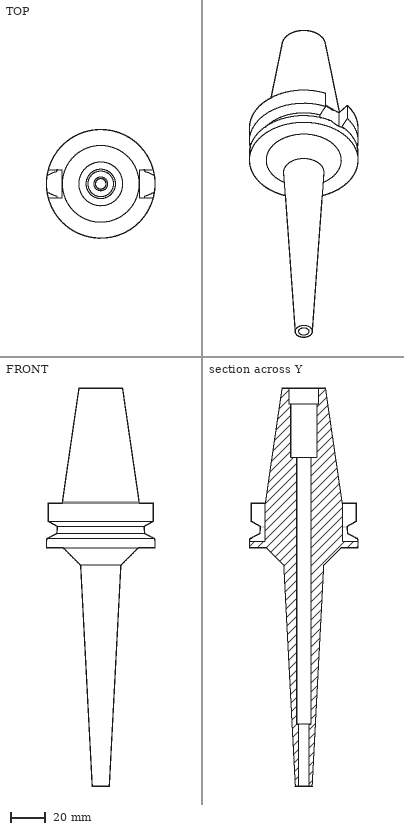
import cadquery as cq
import math

gauge_diameter = 44.45
taper_length = 65.4
taper_ratio = 7 / 24
small_end_radius = (gauge_diameter - taper_ratio * taper_length) / 2

flange_radius = 63 / 2
flange_top = -1.0
flange_bottom = -27.0

groove_root_radius = 53 / 2
groove_center = -16.6
groove_root_width = 4.2
groove_root_top = groove_center + groove_root_width / 2
groove_root_bottom = groove_center - groove_root_width / 2
groove_flank_angle = 30.0
groove_flank_height = (flange_radius - groove_root_radius) * math.tan(math.radians(groove_flank_angle))

slot_width = 16.1
slot_floor_offset = 22.5
slot_bottom = -23.0

overall_reach = 165.0
shoulder_height = 10.0
neck_angle = 3.0
nose_end = -overall_reach
neck_top = flange_bottom - shoulder_height
nose_radius = 10 / 2
neck_top_radius = nose_radius + (neck_top - nose_end) * math.tan(math.radians(neck_angle))
shoulder_radius = neck_top_radius + shoulder_height

counterbore_diameter = 17.0
counterbore_depth = 9.0
stud_bore_diameter = 14.8
stud_bore_depth = 40.0
coolant_bore_diameter = 8.0
nose_bore_diameter = 6.0
nose_bore_depth = 36.0
nose_bore_top = nose_end + nose_bore_depth


def revolved_body():
    """Shank, grooved flange, shoulder and neck as one revolved profile."""
    outline = [
        (0, taper_length),
        (small_end_radius, taper_length),
        (gauge_diameter / 2, 0),
        (gauge_diameter / 2, flange_top),
        (flange_radius, flange_top),
        (flange_radius, groove_root_top + groove_flank_height),
        (groove_root_radius, groove_root_top),
        (groove_root_radius, groove_root_bottom),
        (flange_radius, groove_root_bottom - groove_flank_height),
        (flange_radius, flange_bottom),
        (shoulder_radius, flange_bottom),
        (neck_top_radius, neck_top),
        (nose_radius, nose_end),
        (0, nose_end),
    ]
    return cq.Workplane("XZ").polyline(outline).close().revolve(360, (0, 0), (0, 1))


def drive_slot(side):
    """Cutter for the drive slot on the +X (side = 1) or -X (side = -1) side of the flange."""
    half_width = slot_width / 2
    arc_center = slot_bottom + half_width
    return (
        cq.Workplane("YZ", origin=(side * slot_floor_offset, 0, 0))
        .moveTo(-half_width, flange_top)
        .lineTo(-half_width, arc_center)
        .threePointArc((0, slot_bottom), (half_width, arc_center))
        .lineTo(half_width, flange_top)
        .close()
        .extrude(side * flange_radius)
    )


def bore(diameter, top, bottom):
    """Cylindrical cutter on the axis between two heights."""
    return cq.Workplane("XY", origin=(0, 0, bottom)).circle(diameter / 2).extrude(top - bottom)


result = revolved_body()
for side in (-1, 1):
    result = result.cut(drive_slot(side))

result = result.cut(bore(counterbore_diameter, taper_length, taper_length - counterbore_depth))
result = result.cut(bore(stud_bore_diameter, taper_length, taper_length - stud_bore_depth))
result = result.cut(bore(coolant_bore_diameter, taper_length, nose_bore_top))
result = result.cut(bore(nose_bore_diameter, nose_bore_top, nose_end))